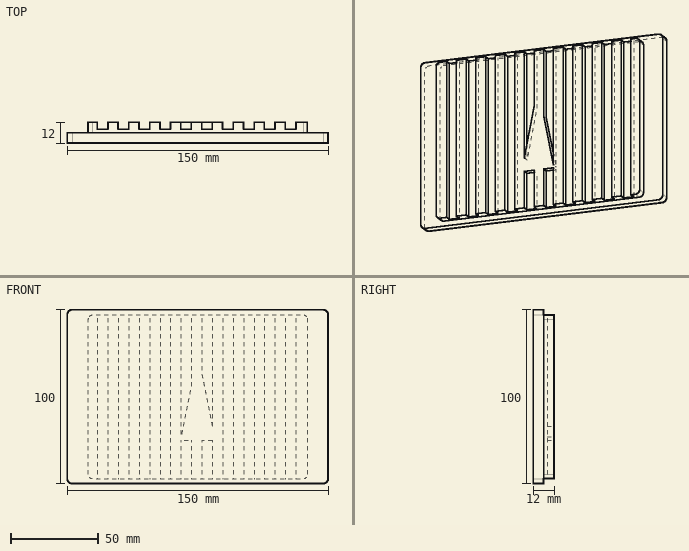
import cadquery as cq

plate_width = 150.0
plate_height = 100.0
plate_thickness = 6.0
plate_corner_radius = 3.0

pad_width = 126.0
pad_height = 94.0
pad_thickness = 6.0
pad_corner_radius = 2.5

groove_count = 10
groove_width = 6.0
groove_depth = 4.0
groove_pitch = 2 * groove_width
groove_row_center_x = -0.63

island_base = 20.0
island_height = 50.0

overall_thickness = plate_thickness + pad_thickness
groove_floor_y = overall_thickness - groove_depth


def rounded_slab(width, height, thickness, corner_radius, front_y):
    """Slab centred in X and Z, running towards +Y, with rounded corners."""
    slab = cq.Workplane("XY").box(width, thickness, height, centered=(True, False, True))
    return slab.edges("|Y").fillet(corner_radius).translate((0, front_y, 0))


def groove(center_x):
    """Cutter for one groove, running the full height of the pad."""
    cutter = cq.Workplane("XY").box(
        groove_width, groove_depth, pad_height, centered=(True, False, True)
    )
    return cutter.translate((center_x, groove_floor_y, 0))


def island():
    """Triangle standing on the groove floor, flush with the back of the pad."""
    outline = [
        (-island_base / 2, -island_height / 2),
        (island_base / 2, -island_height / 2),
        (0, island_height / 2),
    ]
    triangle = cq.Workplane("XZ").polyline(outline).close().extrude(-groove_depth)
    return triangle.translate((0, groove_floor_y, 0))


plate = rounded_slab(plate_width, plate_height, plate_thickness, plate_corner_radius, 0)
pad = rounded_slab(pad_width, pad_height, pad_thickness, pad_corner_radius, plate_thickness)

first_groove_x = groove_row_center_x - groove_pitch * (groove_count - 1) / 2
for index in range(groove_count):
    pad = pad.cut(groove(first_groove_x + index * groove_pitch))

result = plate.union(pad).union(island())